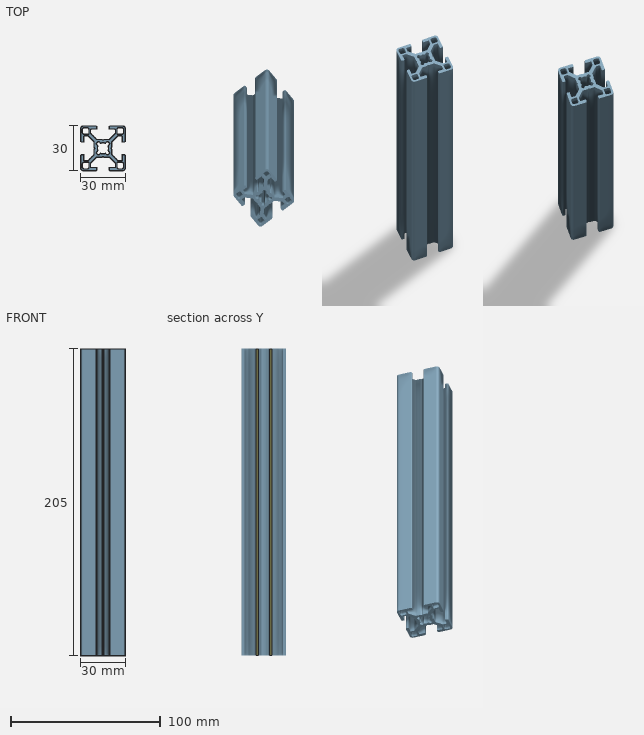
import cadquery as cq
import math

SIDE = 30.0
LENGTH = 205.0
CORNER_RADIUS = 2.0
QUARTER_TURNS = (0, 90, 180, 270)
DIAGONAL_ANGLE = 45

SLOT_OPENING = 8.3
SLOT_INNER_WIDTH = 16.5
LIP_THICKNESS = 2.2
LIP_CHAMFER = 0.55
SLOT_CORNER_RADIUS = 0.3
CORE_WIDTH = 12.0
WEB_THICKNESS = 2.5
NOTCH_WIDTH = 1.6
NOTCH_DEPTH = 0.45

CELL_WALL = 1.3
CELL_SIDE = 4.25
CELL_ROUND = 1.1

BORE_DIAMETER = 7.3
POCKET_REACH = 5.4
POCKET_OUTER_WIDTH = 1.85
POCKET_SHOULDER_REACH = 4.55
POCKET_WIDTH = 2.45

HALF = SIDE / 2


def turned(solid, angle):
    """Copy of a solid turned around the Z axis by an angle in degrees."""
    return solid.rotate((0, 0, 0), (0, 0, 1), angle)


def make_body():
    return cq.Workplane("XY").rect(SIDE, SIDE).extrude(LENGTH).edges("|Z").fillet(CORNER_RADIUS)


def make_slot():
    """T-slot cutter on the +Y side, with a chamfered mouth and a V notch in its floor."""
    mouth = SLOT_OPENING / 2
    inner = SLOT_INNER_WIDTH / 2
    ceiling = HALF - LIP_THICKNESS
    floor = CORE_WIDTH / 2
    web_offset = WEB_THICKNESS / math.sqrt(2)
    notch = NOTCH_WIDTH / 2
    return (
        cq.Workplane("XY")
        .moveTo(mouth + LIP_CHAMFER, HALF)
        .lineTo(mouth, HALF - LIP_CHAMFER)
        .lineTo(mouth, ceiling)
        .lineTo(inner - SLOT_CORNER_RADIUS, ceiling)
        .radiusArc((inner, ceiling - SLOT_CORNER_RADIUS), SLOT_CORNER_RADIUS)
        .lineTo(inner, inner + web_offset)
        .lineTo(floor - web_offset, floor)
        .lineTo(notch, floor)
        .lineTo(0, floor - NOTCH_DEPTH)
        .lineTo(-notch, floor)
        .lineTo(web_offset - floor, floor)
        .lineTo(-inner, inner + web_offset)
        .lineTo(-inner, ceiling - SLOT_CORNER_RADIUS)
        .radiusArc((SLOT_CORNER_RADIUS - inner, ceiling), SLOT_CORNER_RADIUS)
        .lineTo(-mouth, ceiling)
        .lineTo(-mouth, HALF - LIP_CHAMFER)
        .lineTo(-mouth - LIP_CHAMFER, HALF)
        .close()
        .extrude(LENGTH)
    )


def make_cell():
    """Corner hollow in the +X +Y corner, sharp only at its innermost corner."""
    center = HALF - CELL_WALL - CELL_SIDE / 2
    return (
        cq.Workplane("XY")
        .center(center, center)
        .rect(CELL_SIDE, CELL_SIDE)
        .extrude(LENGTH)
        .edges("|Z and (>X or >Y)")
        .fillet(CELL_ROUND)
    )


def make_bore_pocket():
    """Tapered pocket reaching from the axis toward +X."""
    return (
        cq.Workplane("XY")
        .polyline([
            (0, -POCKET_WIDTH / 2),
            (POCKET_SHOULDER_REACH, -POCKET_WIDTH / 2),
            (POCKET_REACH, -POCKET_OUTER_WIDTH / 2),
            (POCKET_REACH, POCKET_OUTER_WIDTH / 2),
            (POCKET_SHOULDER_REACH, POCKET_WIDTH / 2),
            (0, POCKET_WIDTH / 2),
        ])
        .close()
        .extrude(LENGTH)
    )


def make_bore():
    return cq.Workplane("XY").circle(BORE_DIAMETER / 2).extrude(LENGTH)


def make_profile():
    """Square bar with the slots, corner hollows and central bore cut along its full length."""
    profile = make_body()
    for turn in QUARTER_TURNS:
        profile = profile.cut(turned(make_slot(), turn))
        profile = profile.cut(turned(make_cell(), turn))
        profile = profile.cut(turned(make_bore_pocket(), turn + DIAGONAL_ANGLE))
    return profile.cut(make_bore())


result = make_profile()